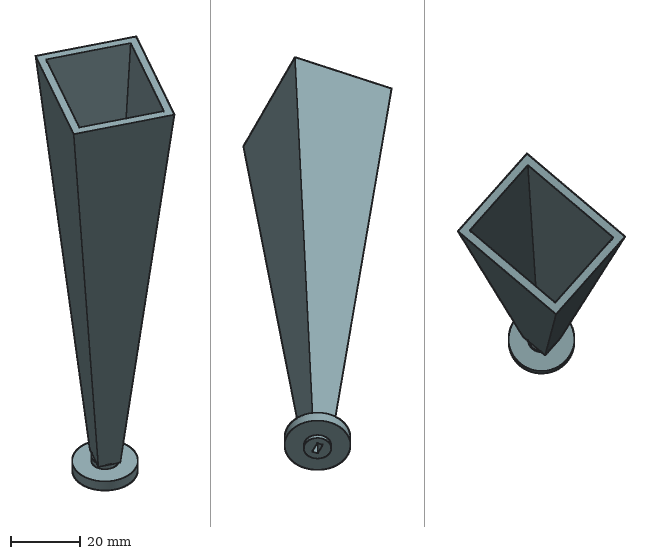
import cadquery as cq

total_height = 144.4
mouth_x, mouth_y = 37.5, 30.5
wall = 2.5
bore_x, bore_y = 3.6, 1.7
neck_diameter = 8.0
neck_top = 6.5
flange_diameter = 19.0
flange_bottom = 1.3
flange_thickness = 3.5


def tapered_block(throat_x, throat_y, end_x, end_y):
    """Rectangular frustum from the top of the neck up to the horn mouth."""
    return (
        cq.Workplane("XY")
        .workplane(offset=neck_top)
        .rect(throat_x, throat_y)
        .workplane(offset=total_height - neck_top)
        .rect(end_x, end_y)
        .loft(ruled=True, combine=True)
    )


horn_outer = tapered_block(bore_x + 2 * wall, bore_y + 2 * wall, mouth_x, mouth_y)
horn_cavity = tapered_block(bore_x, bore_y, mouth_x - 2 * wall, mouth_y - 2 * wall)

neck = cq.Workplane("XY").circle(neck_diameter / 2).extrude(neck_top)
flange = (
    cq.Workplane("XY")
    .workplane(offset=flange_bottom)
    .circle(flange_diameter / 2)
    .extrude(flange_thickness)
)

bore = cq.Workplane("XY").rect(bore_x, bore_y).extrude(neck_top)

result = horn_outer.union(neck).union(flange).cut(horn_cavity).cut(bore)